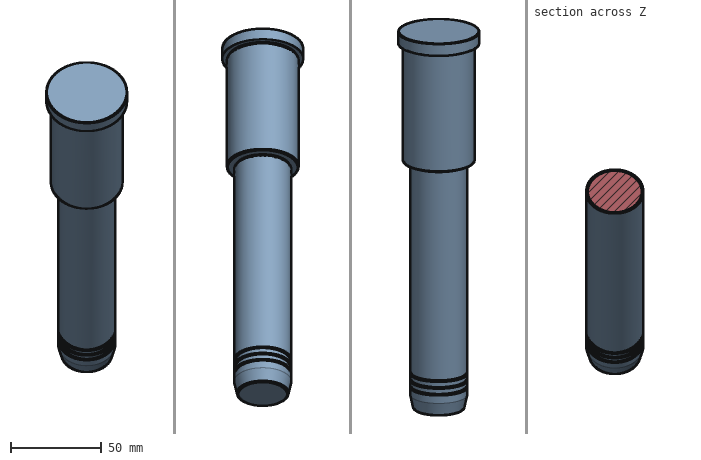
import cadquery as cq

total_length = 220.0
head_diameter = 45.0
sleeve_diameter = 40.0
shaft_diameter = 32.0
tip_diameter = 28.4

head_thickness = 7.0
sleeve_end_depth = 76.0
tip_length = 8.0

head_relief_width = 1.0
head_relief_depth = 0.7
neck_width = 1.3
neck_depth = 0.9

groove_count = 3
groove_pitch = 4.0
groove_width = 1.0
groove_depth = 0.7
lowest_groove_height = 13.0

head_chamfer = 0.5
sleeve_chamfer = 0.7
tip_chamfer = 0.7


def cylinder(diameter, bottom, top):
    """Cylinder on the Z axis between two heights."""
    return cq.Workplane("XY").workplane(offset=bottom).circle(diameter / 2).extrude(top - bottom)


def cut_ring(body, diameter, depth, bottom, width):
    """Cut a square groove into a cylindrical surface of the given diameter."""
    ring = (
        cq.Workplane("XY")
        .workplane(offset=bottom)
        .circle(diameter / 2)
        .circle(diameter / 2 - depth)
        .extrude(width)
    )
    return body.cut(ring)


def cut_v_groove(body, diameter, depth, center, width):
    """Cut a V-shaped ring groove whose root lies at the center height."""
    radius = diameter / 2
    profile = (
        cq.Workplane("XZ")
        .moveTo(radius, center - width / 2)
        .lineTo(radius - depth, center)
        .lineTo(radius, center + width / 2)
        .close()
    )
    return body.cut(profile.revolve(360, (0, 0, 0), (0, 1, 0)))


head_bottom = total_length - head_thickness
sleeve_bottom = total_length - sleeve_end_depth

head = cylinder(head_diameter, head_bottom, total_length).faces(">Z").edges().chamfer(head_chamfer)
sleeve = cylinder(sleeve_diameter, sleeve_bottom, head_bottom).faces("<Z").edges().chamfer(sleeve_chamfer)
shaft = cylinder(shaft_diameter, tip_length, sleeve_bottom)

tip = (
    cq.Workplane("XY")
    .circle(tip_diameter / 2)
    .workplane(offset=tip_length)
    .circle(shaft_diameter / 2)
    .loft(ruled=True)
    .faces("<Z")
    .edges()
    .chamfer(tip_chamfer)
)

result = head.union(sleeve).union(shaft).union(tip)

result = cut_ring(
    result, sleeve_diameter, head_relief_depth, head_bottom - head_relief_width, head_relief_width
)
result = cut_ring(result, shaft_diameter, neck_depth, sleeve_bottom - neck_width, neck_width)

for index in range(groove_count):
    groove_center = lowest_groove_height + index * groove_pitch
    result = cut_v_groove(result, shaft_diameter, groove_depth, groove_center, groove_width)